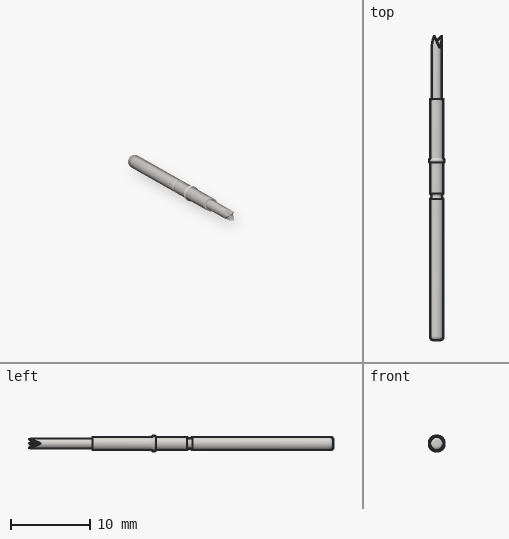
import cadquery as cq
import math


total_length = 38.4
plunger_length = 8.0
collar_to_tip = 16.0
collar_width = 0.5
collar_to_groove = 3.9
groove_width = 0.7

barrel_diameter = 1.7
plunger_diameter = 1.3
collar_diameter = 2.0
collar_blend_radius = 0.1
groove_depth = 0.18
tail_round = 0.45

tooth_count = 3
crown_core_depth = 0.62
crown_outer_depth = 1.45

barrel_radius = barrel_diameter / 2
plunger_radius = plunger_diameter / 2
collar_radius = collar_diameter / 2
tip_y = collar_to_tip
shoulder_y = tip_y - plunger_length
tail_y = tip_y - total_length
groove_y = -collar_to_groove - groove_width / 2


def cylinder(radius, start_y, end_y):
    """Solid cylinder on the Y axis between two Y positions."""
    return cq.Workplane("XZ", origin=(0, start_y, 0)).circle(radius).extrude(start_y - end_y)


def make_barrel():
    """Main tube with a rounded tail end."""
    return cylinder(barrel_radius, tail_y, shoulder_y).faces("<Y").edges().fillet(tail_round)


def make_collar():
    """Stop ring with a bulged rim; its core reaches the axis."""
    return (
        cq.Workplane("XY")
        .moveTo(0, 0)
        .lineTo(barrel_radius, 0)
        .threePointArc((collar_radius, collar_width / 2), (barrel_radius, collar_width))
        .lineTo(0, collar_width)
        .close()
        .revolve(360, (0, 0, 0), (0, 1, 0))
    )


def make_collared_barrel():
    """Barrel with its collar, blended into the tube on the tip side only."""
    collared = make_barrel().union(make_collar())
    tip_side_edge = cq.selectors.BoxSelector(
        (-collar_radius, collar_width - collar_blend_radius, -collar_radius),
        (collar_radius, collar_width + collar_blend_radius, collar_radius),
    )
    return collared.edges(tip_side_edge).fillet(collar_blend_radius)


def make_groove_cutter():
    """Ring with a circular-segment section that forms the crimp groove around the barrel."""
    half_width = groove_width / 2
    return (
        cq.Workplane("XY")
        .moveTo(barrel_radius, groove_y - half_width)
        .threePointArc(
            (barrel_radius - groove_depth, groove_y),
            (barrel_radius, groove_y + half_width),
        )
        .close()
        .revolve(360, (0, 0, 0), (0, 1, 0))
    )


def make_crown_cutter(angle):
    """V notch at the given angle around Y, deepening outward from the axis."""
    floor_fall = (crown_outer_depth - crown_core_depth) / plunger_radius
    cutter_length = barrel_radius
    end_depth = crown_core_depth + floor_fall * cutter_length
    half_pitch = math.pi / tooth_count
    depth_beside_tooth = crown_core_depth + floor_fall * plunger_radius * math.cos(half_pitch)
    wall_slope = depth_beside_tooth / (plunger_radius * math.sin(half_pitch))

    def notch_outline(depth):
        half_width = depth / wall_slope
        return [(tip_y - depth, 0), (tip_y, half_width), (tip_y, -half_width)]

    return (
        cq.Workplane("YZ")
        .polyline(notch_outline(crown_core_depth))
        .close()
        .workplane(offset=cutter_length)
        .polyline(notch_outline(end_depth))
        .close()
        .loft(ruled=True)
        .rotate((0, 0, 0), (0, 1, 0), angle)
    )


def make_plunger():
    """Plunger with a crown of equal teeth, one of them on the +X side."""
    plunger = cylinder(plunger_radius, 0, tip_y)
    tooth_pitch = 360 / tooth_count
    for tooth in range(tooth_count):
        plunger = plunger.cut(make_crown_cutter((tooth + 0.5) * tooth_pitch))
    return plunger


result = make_collared_barrel().union(make_plunger()).cut(make_groove_cutter())